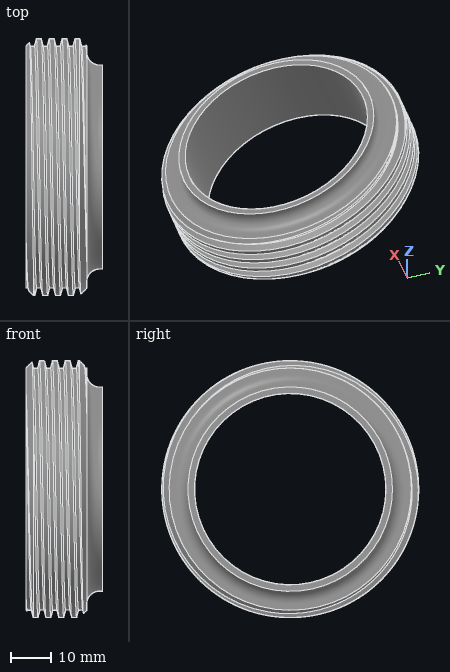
import cadquery as cq
import math

length = 19.05
bore_radius = 47.5 / 2
neck_radius = 50.8 / 2
root_radius = 60.2 / 2
crest_radius = 63.9 / 2
threaded_length = 15.15
neck_fillet = 3.1

pitch = 3.2
crest_width = 1.2
flank_angle = math.radians(14.5)
thread_root_overlap = 0.3
trim_margin = 0.65


def revolve_about_x(profile):
    return profile.close().revolve(360, (0, 0, 0), (1, 0, 0))


def ring_body():
    """Bored ring with a narrower neck joined to it by a concave fillet."""
    fillet_end = threaded_length + neck_fillet
    fillet_start_radius = neck_radius + neck_fillet
    arc_reach = neck_fillet * math.sqrt(0.5)
    arc_middle = (fillet_end - arc_reach, fillet_start_radius - arc_reach)
    profile = (
        cq.Workplane("XY")
        .moveTo(0, bore_radius)
        .lineTo(0, root_radius)
        .lineTo(threaded_length, root_radius)
        .lineTo(threaded_length, fillet_start_radius)
        .threePointArc(arc_middle, (fillet_end, neck_radius))
        .lineTo(length, neck_radius)
        .lineTo(length, bore_radius)
    )
    return revolve_about_x(profile)


def end_trimmer():
    """Ring before the X = 0 face that cuts a thread end flush and at 45 degrees."""
    clear_radius = crest_radius + trim_margin
    profile = (
        cq.Workplane("XY")
        .moveTo(-2 * pitch, bore_radius)
        .lineTo(0, bore_radius)
        .lineTo(0, root_radius)
        .lineTo(clear_radius - root_radius, clear_radius)
        .lineTo(-2 * pitch, clear_radius)
    )
    return revolve_about_x(profile)


def thread_ridge():
    """Right-hand ridge, started before the first face and run past the threaded end."""
    start = -pitch / 2
    turns = math.ceil((threaded_length + pitch) / pitch)
    base_radius = root_radius - thread_root_overlap
    crest_half = crest_width / 2
    base_half = crest_half + (crest_radius - base_radius) * math.tan(flank_angle)
    helix = cq.Wire.makeHelix(pitch, turns * pitch, base_radius)
    ridge = (
        cq.Workplane("XZ")
        .moveTo(base_radius, -base_half)
        .lineTo(crest_radius, -crest_half)
        .lineTo(crest_radius, crest_half)
        .lineTo(base_radius, base_half)
        .close()
        .sweep(cq.Workplane(obj=helix), isFrenet=True)
    )
    return (
        ridge.rotate((0, 0, 0), (0, 1, 0), 90)
        .rotate((0, 0, 0), (1, 0, 0), -90)
        .translate((start, 0, 0))
    )


front_trimmer = end_trimmer()
back_trimmer = front_trimmer.mirror("YZ").translate((threaded_length, 0, 0))
thread = thread_ridge().cut(front_trimmer).cut(back_trimmer)
solid_ring = ring_body().union(thread)
result = cq.Workplane(obj=solid_ring.solids().val())